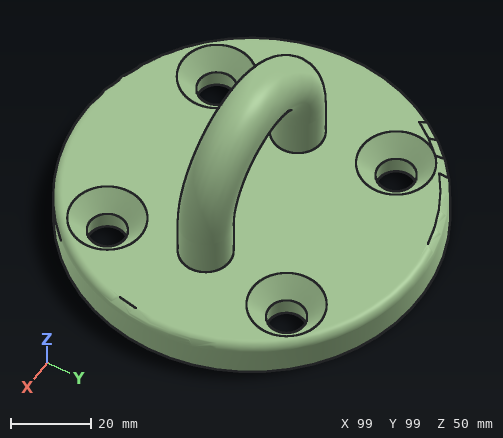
import cadquery as cq

plate_diameter = 99.0
plate_thickness = 10.0
edge_radius = 2.5

hole_count = 4
hole_diameter = 10.25
countersink_diameter = 20.0
countersink_angle = 90.0
hole_circle_diameter = 74.0
first_hole_angle = 45.0
full_turn = 360.0

bar_diameter = 14.0
bend_radius = 22.0
leg_height = 11.0
leg_embedment = 5.0


def make_plate():
    """Round plate with its bottom on Z = 0 and a rounded upper rim."""
    plate = cq.Workplane("XY").circle(plate_diameter / 2).extrude(plate_thickness)
    return plate.faces(">Z").edges().fillet(edge_radius)


def cut_screw_holes(plate):
    """Drill the through holes and countersink them from the top face."""
    return (
        plate.faces(">Z")
        .workplane(origin=(0, 0, plate_thickness))
        .polarArray(hole_circle_diameter / 2, first_hole_angle, full_turn, hole_count)
        .cskHole(hole_diameter, countersink_diameter, countersink_angle)
    )


def make_eye():
    """Round bar swept up one leg, over a half circle and down the other leg."""
    leg_base = plate_thickness - leg_embedment
    leg_top = plate_thickness + leg_height
    centreline = (
        cq.Workplane("XZ")
        .moveTo(-bend_radius, leg_base)
        .lineTo(-bend_radius, leg_top)
        .threePointArc((0, leg_top + bend_radius), (bend_radius, leg_top))
        .lineTo(bend_radius, leg_base)
    )
    section = cq.Workplane("XY", origin=(-bend_radius, 0, leg_base)).circle(bar_diameter / 2)
    return section.sweep(centreline)


result = cut_screw_holes(make_plate()).union(make_eye())